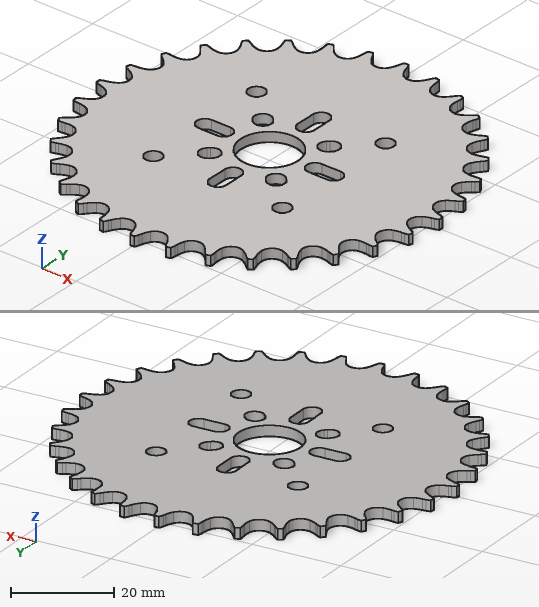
import cadquery as cq
import math

tip_radius = 42.6
thickness = 2.4
tooth_count = 32

root_radius = 38.25
seat_radius = 2.55
working_radius = 6.6
tip_flank_radius = 4.1
straight_length = 0.7
seat_end_slope = math.radians(53.1)
flank_slope = math.radians(69.4)

bore_diameter = 14.0
screw_clearance = 4.0
bolt_square_half = 16.0
inner_circle_radius = bolt_square_half / math.sqrt(2)
diagonal_slot_outer_radius = 12.0


def mirrored(point):
    return (-point[0], point[1])


def point_on_arc(start, radius, start_slope, end_slope):
    """Point where an arc leaving start at one slope has turned to another slope."""
    return (
        start[0] + radius * (math.sin(end_slope) - math.sin(start_slope)),
        start[1] - radius * (math.cos(end_slope) - math.cos(start_slope)),
    )


def tooth_gap():
    """Cutter for one gap, centred on +Y and running out past the tooth tips."""
    seat_bottom = (0, root_radius)
    seat_end = point_on_arc(seat_bottom, seat_radius, 0, seat_end_slope)
    working_middle_slope = (seat_end_slope + flank_slope) / 2
    working_middle = point_on_arc(seat_end, working_radius, seat_end_slope, working_middle_slope)
    working_end = point_on_arc(seat_end, working_radius, seat_end_slope, flank_slope)
    straight_end = (
        working_end[0] + straight_length * math.cos(flank_slope),
        working_end[1] + straight_length * math.sin(flank_slope),
    )
    tip_middle = point_on_arc(straight_end, -tip_flank_radius, flank_slope, flank_slope / 2)
    tip_end = point_on_arc(straight_end, -tip_flank_radius, flank_slope, 0)
    return (
        cq.Workplane("XY")
        .moveTo(*mirrored(tip_end))
        .threePointArc(mirrored(tip_middle), mirrored(straight_end))
        .lineTo(*mirrored(working_end))
        .threePointArc(mirrored(working_middle), mirrored(seat_end))
        .threePointArc(seat_bottom, seat_end)
        .threePointArc(working_middle, working_end)
        .lineTo(*straight_end)
        .threePointArc(tip_middle, tip_end)
        .close()
        .extrude(thickness)
    )


def toothed_plate():
    """Disc with evenly spaced teeth, one of them centred on +X."""
    pitch_angle = 360 / tooth_count
    plate = cq.Workplane("XY").circle(tip_radius).extrude(thickness)
    gap = tooth_gap()
    for index in range(tooth_count):
        plate = plate.cut(gap.rotate((0, 0, 0), (0, 0, 1), (index + 0.5) * pitch_angle))
    return plate


def radial_slot(inner_radius, outer_radius, angle):
    """Round-ended slot cutter; the radii locate the centres of its two ends."""
    slot_length = outer_radius - inner_radius + screw_clearance
    return (
        cq.Workplane("XY")
        .center((inner_radius + outer_radius) / 2, 0)
        .slot2D(slot_length, screw_clearance)
        .extrude(thickness)
        .rotate((0, 0, 0), (0, 0, 1), angle)
    )


bore = cq.Workplane("XY").circle(bore_diameter / 2).extrude(thickness)
bolt_holes = (
    cq.Workplane("XY")
    .rect(2 * bolt_square_half, 2 * bolt_square_half, forConstruction=True)
    .vertices()
    .circle(screw_clearance / 2)
    .extrude(thickness)
)

result = toothed_plate().cut(bore).cut(bolt_holes)
for quarter_turn in range(0, 360, 90):
    result = result.cut(radial_slot(inner_circle_radius, bolt_square_half, quarter_turn))
    result = result.cut(radial_slot(inner_circle_radius, diagonal_slot_outer_radius, quarter_turn + 45))